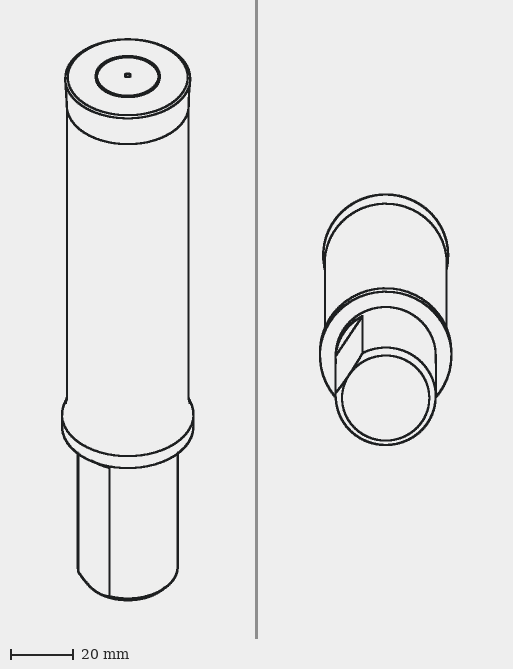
import cadquery as cq
import math

total_length = 205.0
shank_length = 60.3
flat_length = 55.4
collar_rim_top = 65.2
collar_flare_top = 72.0
head_base = 192.5

shank_radius = 32.0 / 2
collar_radius = 42.0 / 2
body_radius = 39.0 / 2
head_radius = 40.0 / 2

shank_chamfer_radial = 2.0
shank_chamfer_height = 2.5
flat_distance = 14.0

head_edge_chamfer = 0.8
head_edge_height = 0.6
head_crown_height = 0.8
groove_outer_radius = 10.2
groove_width = 0.5
groove_depth = 0.2
center_hole_radius = 0.92
center_hole_depth = 0.5


def make_holder():
    """Turned shank, flared collar and body, with a clamping flat on the shank."""
    flare_height = collar_flare_top - collar_rim_top
    flare_width = collar_radius - body_radius
    flare_radius = (flare_height**2 + flare_width**2) / (2 * flare_width)
    half_angle = math.asin(flare_height / flare_radius) / 2
    flare_middle = (
        body_radius + flare_radius * (1 - math.cos(half_angle)),
        collar_flare_top - flare_radius * math.sin(half_angle),
    )
    turned = (
        cq.Workplane("XZ")
        .moveTo(0, 0)
        .lineTo(shank_radius - shank_chamfer_radial, 0)
        .lineTo(shank_radius, shank_chamfer_height)
        .lineTo(shank_radius, shank_length)
        .lineTo(collar_radius, shank_length)
        .lineTo(collar_radius, collar_rim_top)
        .threePointArc(flare_middle, (body_radius, collar_flare_top))
        .lineTo(body_radius, head_base)
        .lineTo(0, head_base)
        .close()
        .revolve(360, (0, 0, 0), (0, 1, 0))
    )
    flat_cutter = cq.Workplane("XY").box(
        2 * shank_radius, shank_radius, flat_length, centered=(True, False, False)
    ).translate((0, -flat_distance - shank_radius, 0))
    return turned.cut(flat_cutter)


def make_cutting_head():
    """Tapered head with a shallow conical end, a ring groove and a center hole."""
    crown_base = total_length - head_crown_height
    head = (
        cq.Workplane("XZ")
        .moveTo(0, head_base)
        .lineTo(body_radius, head_base)
        .lineTo(head_radius, crown_base - head_edge_height)
        .lineTo(head_radius - head_edge_chamfer, crown_base)
        .lineTo(center_hole_radius, total_length)
        .lineTo(0, total_length)
        .close()
        .revolve(360, (0, 0, 0), (0, 1, 0))
    )
    crown_slope = head_crown_height / (head_radius - head_edge_chamfer - center_hole_radius)
    groove_floor = total_length - crown_slope * (groove_outer_radius - center_hole_radius) - groove_depth
    groove = (
        cq.Workplane("XY", origin=(0, 0, groove_floor))
        .circle(groove_outer_radius)
        .circle(groove_outer_radius - groove_width)
        .extrude(total_length - groove_floor)
    )
    center_hole = (
        cq.Workplane("XY", origin=(0, 0, total_length - center_hole_depth))
        .circle(center_hole_radius)
        .extrude(center_hole_depth)
    )
    return head.cut(groove).cut(center_hole)


holder = make_holder()
cutting_head = make_cutting_head()

result = cq.Compound.makeCompound([holder.val(), cutting_head.val()])